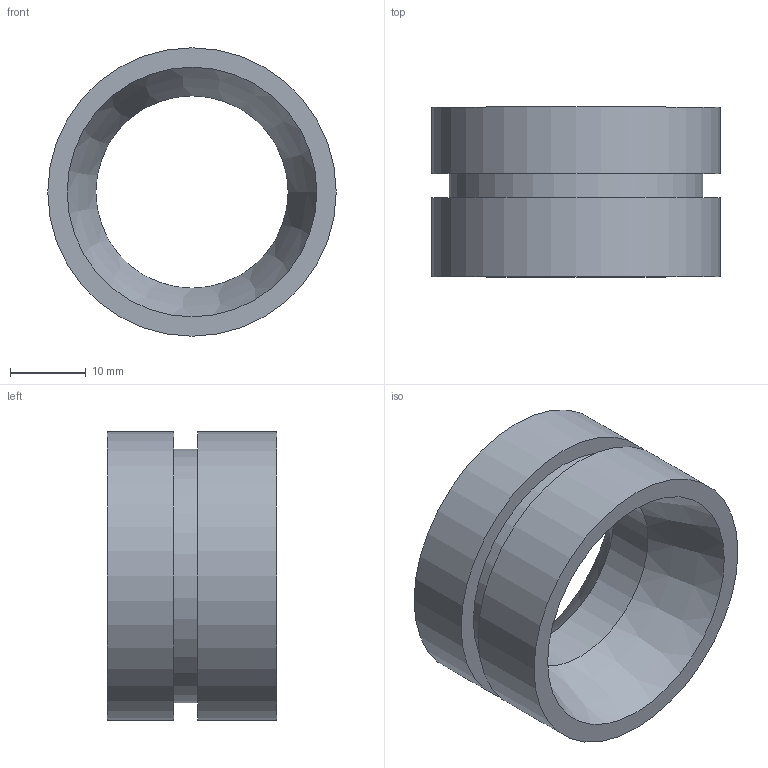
import cadquery as cq

outer_diameter = 38.1
length = 22.41
bore_diameter = 25.4
mouth_diameter = 33.0
taper_depth = 10.46

flare_depth = 5.55

groove_diameter = 33.5
groove_width = 3.175
mouth_to_groove = 10.46

outer_radius = outer_diameter / 2
bore_radius = bore_diameter / 2
mouth_radius = mouth_diameter / 2
groove_radius = groove_diameter / 2
flare_radius = bore_radius + flare_depth
flare_start = length - flare_depth
groove_end = mouth_to_groove + groove_width


def ring_with_groove():
    """Revolve the half section, with groove, taper and flare, about the Y axis."""
    half_section = (
        cq.Workplane("XY")
        .moveTo(mouth_radius, 0)
        .lineTo(outer_radius, 0)
        .lineTo(outer_radius, mouth_to_groove)
        .lineTo(groove_radius, mouth_to_groove)
        .lineTo(groove_radius, groove_end)
        .lineTo(outer_radius, groove_end)
        .lineTo(outer_radius, length)
        .lineTo(flare_radius, length)
        .lineTo(bore_radius, flare_start)
        .lineTo(bore_radius, taper_depth)
        .close()
    )
    return half_section.revolve(360, (0, 0, 0), (0, 1, 0))


result = ring_with_groove()